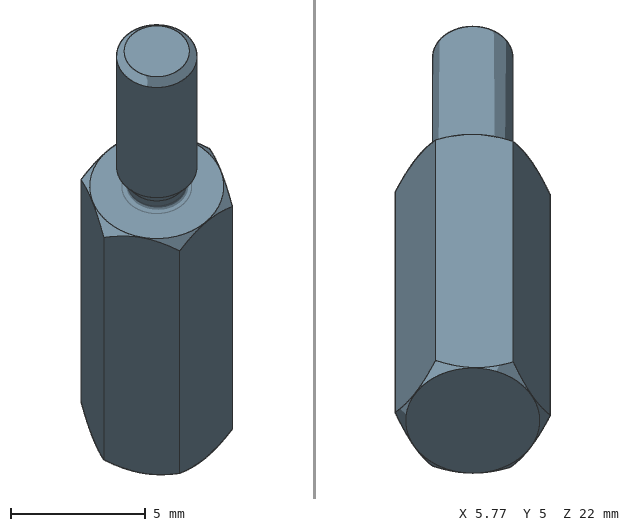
import cadquery as cq
import math

across_flats = 5.0
body_length = 14.0
body_end_diameter = 4.97
across_corners = across_flats / math.cos(math.radians(30))
corner_chamfer = (across_corners - body_end_diameter) / 2

total_length = 22
stud_diameter = 3.0
stud_tip_diameter = 2.42
tip_chamfer = (stud_diameter - stud_tip_diameter) / 2

neck_diameter = 2.2
neck_root_fillet = 0.2
neck_length = 0.5
taper_angle = 30
taper_height = (stud_diameter - neck_diameter) / 2 / math.tan(math.radians(taper_angle))


def make_body():
    """Hexagonal prism with its corners turned down by a cone at both ends."""
    prism = cq.Workplane("XY").polygon(6, across_corners).extrude(body_length)
    envelope = (
        cq.Workplane("XY")
        .circle(across_corners / 2)
        .extrude(body_length)
        .edges()
        .chamfer(corner_chamfer)
    )
    return prism.intersect(envelope)


def make_stud():
    """Stud with a filleted neck root, a tapered shoulder and a chamfered tip."""
    neck_radius = neck_diameter / 2
    stud_radius = stud_diameter / 2
    neck_top = body_length + neck_length
    root_bend = neck_root_fillet * (1 - math.sqrt(0.5))
    return (
        cq.Workplane("XZ")
        .moveTo(0, body_length)
        .lineTo(neck_radius + neck_root_fillet, body_length)
        .threePointArc(
            (neck_radius + root_bend, body_length + root_bend),
            (neck_radius, body_length + neck_root_fillet),
        )
        .lineTo(neck_radius, neck_top)
        .lineTo(stud_radius, neck_top + taper_height)
        .lineTo(stud_radius, total_length - tip_chamfer)
        .lineTo(stud_tip_diameter / 2, total_length)
        .lineTo(0, total_length)
        .close()
        .revolve(360, (0, 0, 0), (0, 1, 0))
    )


result = make_body().union(make_stud())